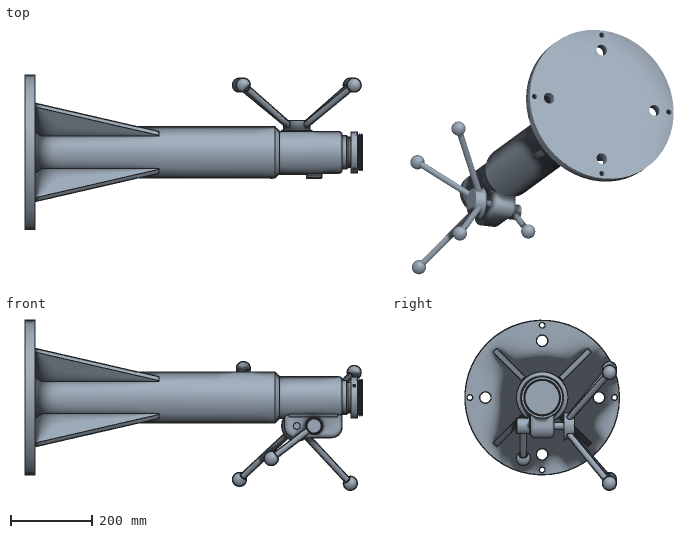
import cadquery as cq
import math


PLATE_RADIUS = 190.5
PLATE_THICKNESS = 26.0
HOLES_PER_CIRCLE = 4
BOLT_HOLE_DIAMETER = 27.5
BOLT_CIRCLE_RADIUS = 140.0
SMALL_HOLE_DIAMETER = 13.0
SMALL_HOLE_CIRCLE_RADIUS = 178.0

TUBE_RADIUS = 63.0
TUBE_END = 627.0
SLEEVE_RADIUS = 51.5
SLEEVE_END = 781.0
SLEEVE_END_RADIUS = 9.0
SHOULDER_CHAMFER = TUBE_RADIUS - SLEEVE_RADIUS

GUSSET_COUNT = 4
GUSSET_END = 330.0
GUSSET_ROOT_RADIUS = 165.0
GUSSET_TIP_RADIUS = 66.0
GUSSET_THICKNESS = 13.0
GUSSET_NOTCH = 17.0
GUSSET_SINK = 2.0

RAM_RADIUS = 42.0
RAM_START = TUBE_END
GROOVE_RADIUS = 37.5
GROOVE_START = 796.0
RAM_END_CHAMFER = 4.0
HEAD_START = 822.0
HEAD_ROOT_RADIUS = 42.5
HEAD_CREST_RADIUS = 45.0
HEAD_RIDGE_COUNT = 2
RAM_END = 832.0

RING_START = 803.0
RING_END = 818.5
RING_RADIUS = 51.0
RING_HOLE_DIAMETER = 7.0
RING_HOLE_ANGLE = 36.0

BRACKET_START = 640.0
BRACKET_BOTTOM = -99.0
BRACKET_HALF_WIDTH = 29.0
BRACKET_CORNER_RADIUS = 27.0
BRACKET_EDGE_RADIUS = 11.0
BRACKET_ROOT_RADIUS = 10.0

SHAFT_X = 670.0
SHAFT_Z = -70.0
SHAFT_RADIUS = 8.0
HUB_FLARE_RADIUS = 37.5
HUB_RADIUS = 32.5
HUB_START = 53.0
HUB_END = 79.0
ARM_COUNT = 4
FIRST_ARM_ANGLE = 43.0
ARM_RISE_ANGLE = 31.0
ARM_RADIUS = 7.5
BALL_RADIUS = 17.5
BALL_FLAT_RADIUS = 10.0
HANDWHEEL_BALL_REACH = 193.0
HANDWHEEL_BALL_Y = 165.5

CLAMP_X = 712.0
CLAMP_Z = SHAFT_Z
KNOB_RADIUS = 19.0
KNOB_END = -64.0
KNOB_CHAMFER = 2.0
KNOB_FLANGE_RADIUS = 22.0
KNOB_FLANGE_THICKNESS = 2.5
CLAMP_LEVER_Y = -46.5
CLAMP_BALL_REACH = 132.0
CLAMP_LEVER_ANGLE = 217.3


def cylinder_along_y(x, z, radius, y_start, y_end):
    return (
        cq.Workplane("XZ", origin=(x, y_start, z))
        .circle(radius)
        .extrude(y_start - y_end)
    )


def ball_lever(foot, ball_center):
    """Round rod from foot to a ball, which has a flat where the rod enters it."""
    axis = ball_center - foot
    rod = cq.Workplane(obj=cq.Solid.makeCylinder(ARM_RADIUS, axis.Length, foot, axis))
    flat_distance = math.sqrt(BALL_RADIUS**2 - BALL_FLAT_RADIUS**2)
    cap_plane = cq.Plane(origin=ball_center - axis.normalized() * flat_distance, normal=-axis)
    cap = cq.Workplane(cap_plane).circle(BALL_RADIUS).extrude(BALL_RADIUS)
    ball = cq.Workplane("XY", origin=ball_center.toTuple()).sphere(BALL_RADIUS).cut(cap)
    return ball.union(rod)


def make_plate():
    holes = (
        cq.Workplane("YZ")
        .polarArray(BOLT_CIRCLE_RADIUS, 0, 360, HOLES_PER_CIRCLE)
        .circle(BOLT_HOLE_DIAMETER / 2)
        .polarArray(SMALL_HOLE_CIRCLE_RADIUS, 0, 360, HOLES_PER_CIRCLE)
        .circle(SMALL_HOLE_DIAMETER / 2)
        .extrude(PLATE_THICKNESS)
    )
    return cq.Workplane("YZ").circle(PLATE_RADIUS).extrude(PLATE_THICKNESS).cut(holes)


def make_gusset(angle):
    """Tapered web with a weld notch where the tube meets the plate."""
    inner_radius = TUBE_RADIUS - GUSSET_SINK
    outline = [
        (PLATE_THICKNESS, GUSSET_ROOT_RADIUS),
        (GUSSET_END, GUSSET_TIP_RADIUS),
        (GUSSET_END, inner_radius),
        (PLATE_THICKNESS + GUSSET_NOTCH, inner_radius),
        (PLATE_THICKNESS, inner_radius + GUSSET_NOTCH),
    ]
    web = cq.Workplane("XZ").polyline(outline).close().extrude(GUSSET_THICKNESS / 2, both=True)
    return web.rotate((0, 0, 0), (1, 0, 0), angle)


def make_bracket():
    """Lug block under the sleeve, its lower corners and its front and back edges rounded."""
    length = SLEEVE_END - BRACKET_START
    return (
        cq.Workplane("XY", origin=(BRACKET_START, 0, BRACKET_BOTTOM))
        .box(length, 2 * BRACKET_HALF_WIDTH, -BRACKET_BOTTOM, centered=(False, True, False))
        .edges("|Y and <Z")
        .fillet(BRACKET_CORNER_RADIUS)
        .edges("(<Y or >Y) and (not >Z)")
        .fillet(BRACKET_EDGE_RADIUS)
    )


def make_bracket_root(side):
    """Concave fillet between the sleeve and the front (side = -1) or back (side = 1) bracket face."""
    center_distance = SLEEVE_RADIUS + BRACKET_ROOT_RADIUS
    center_y = BRACKET_HALF_WIDTH + BRACKET_ROOT_RADIUS
    center_z = -math.sqrt(center_distance**2 - center_y**2)
    sleeve_share = SLEEVE_RADIUS / center_distance
    sleeve_point = (side * center_y * sleeve_share, center_z * sleeve_share)
    face_point = (side * BRACKET_HALF_WIDTH, center_z)
    wedge_length = SLEEVE_END - BRACKET_START - 2 * BRACKET_EDGE_RADIUS
    return (
        cq.Workplane("YZ", origin=(BRACKET_START + BRACKET_EDGE_RADIUS, 0, 0))
        .moveTo(0, 0)
        .lineTo(*sleeve_point)
        .radiusArc(face_point, side * BRACKET_ROOT_RADIUS)
        .lineTo(0, center_z)
        .close()
        .extrude(wedge_length)
    )


def make_pedestal():
    tube = (
        cq.Workplane("YZ").circle(TUBE_RADIUS).extrude(TUBE_END)
        .faces(">X").chamfer(SHOULDER_CHAMFER)
    )
    sleeve = (
        cq.Workplane("YZ").circle(SLEEVE_RADIUS).extrude(SLEEVE_END)
        .faces(">X").edges().fillet(SLEEVE_END_RADIUS)
    )
    pedestal = make_plate().union(tube).union(sleeve).union(make_bracket())
    for side in (-1, 1):
        pedestal = pedestal.union(make_bracket_root(side))
    for i in range(GUSSET_COUNT):
        pedestal = pedestal.union(make_gusset((i + 0.5) * 360 / GUSSET_COUNT))
    ram_bore = (
        cq.Workplane("YZ", origin=(RAM_START, 0, 0))
        .circle(RAM_RADIUS)
        .extrude(SLEEVE_END - RAM_START)
    )
    shaft_hole = cylinder_along_y(
        SHAFT_X, SHAFT_Z, SHAFT_RADIUS, -BRACKET_HALF_WIDTH, BRACKET_HALF_WIDTH
    )
    return pedestal.cut(ram_bore).cut(shaft_hole)


def make_ram():
    """Stepped ram with a groove before the ring and V-shaped ridges around its head."""
    profile = [
        (RAM_START, 0),
        (RAM_START, RAM_RADIUS),
        (GROOVE_START - RAM_END_CHAMFER, RAM_RADIUS),
        (GROOVE_START, GROOVE_RADIUS),
        (RING_START, GROOVE_RADIUS),
        (RING_START, RAM_RADIUS),
        (HEAD_START, RAM_RADIUS),
        (HEAD_START, HEAD_ROOT_RADIUS),
    ]
    ridge_pitch = (RAM_END - HEAD_START) / HEAD_RIDGE_COUNT
    for i in range(HEAD_RIDGE_COUNT):
        ridge_start = HEAD_START + i * ridge_pitch
        profile.append((ridge_start + ridge_pitch / 2, HEAD_CREST_RADIUS))
        profile.append((ridge_start + ridge_pitch, HEAD_ROOT_RADIUS))
    profile.append((RAM_END, 0))
    return cq.Workplane("XY").polyline(profile).close().revolve(360, (0, 0, 0), (1, 0, 0))


def make_ring():
    ring = (
        cq.Workplane("YZ", origin=(RING_START, 0, 0))
        .circle(RING_RADIUS)
        .circle(RAM_RADIUS)
        .extrude(RING_END - RING_START)
    )
    radial_hole = (
        cq.Workplane("XZ", origin=((RING_START + RING_END) / 2, 0, 0))
        .circle(RING_HOLE_DIAMETER / 2)
        .extrude(RING_RADIUS)
        .rotate((0, 0, 0), (1, 0, 0), -RING_HOLE_ANGLE)
    )
    return ring.cut(radial_hole)


def make_handwheel():
    shaft = cylinder_along_y(SHAFT_X, SHAFT_Z, SHAFT_RADIUS, -BRACKET_HALF_WIDTH, HUB_END)
    flare = HUB_FLARE_RADIUS - HUB_RADIUS
    hub = (
        cq.Workplane("XY", origin=(SHAFT_X, 0, SHAFT_Z))
        .moveTo(0, HUB_START)
        .lineTo(HUB_FLARE_RADIUS, HUB_START)
        .radiusArc((HUB_RADIUS, HUB_START + flare), flare)
        .lineTo(HUB_RADIUS, HUB_END)
        .lineTo(0, HUB_END)
        .close()
        .revolve(360, (0, 0, 0), (0, 1, 0))
    )
    handwheel = shaft.union(hub)

    foot_reach = HUB_RADIUS / 2
    arm_slope = math.tan(math.radians(ARM_RISE_ANGLE))
    foot_y = HANDWHEEL_BALL_Y - (HANDWHEEL_BALL_REACH - foot_reach) * arm_slope
    for i in range(ARM_COUNT):
        angle = math.radians(FIRST_ARM_ANGLE + i * 360 / ARM_COUNT)
        outward = cq.Vector(math.cos(angle), 0, math.sin(angle))
        foot = cq.Vector(SHAFT_X, foot_y, SHAFT_Z) + outward * foot_reach
        ball_center = cq.Vector(SHAFT_X, HANDWHEEL_BALL_Y, SHAFT_Z) + outward * HANDWHEEL_BALL_REACH
        handwheel = handwheel.union(ball_lever(foot, ball_center))
    return handwheel


def make_clamp():
    bracket_face = -BRACKET_HALF_WIDTH
    knob = cylinder_along_y(CLAMP_X, CLAMP_Z, KNOB_RADIUS, bracket_face, KNOB_END)
    knob = knob.faces("<Y").chamfer(KNOB_CHAMFER)
    flange = cylinder_along_y(
        CLAMP_X, CLAMP_Z, KNOB_FLANGE_RADIUS, bracket_face, bracket_face - KNOB_FLANGE_THICKNESS
    )
    angle = math.radians(CLAMP_LEVER_ANGLE)
    foot = cq.Vector(CLAMP_X, CLAMP_LEVER_Y, CLAMP_Z)
    ball_center = foot + cq.Vector(math.cos(angle), 0, math.sin(angle)) * CLAMP_BALL_REACH
    return knob.union(flange).union(ball_lever(foot, ball_center))


pedestal = make_pedestal()
ram = make_ram()
ring = make_ring()
handwheel = make_handwheel()
clamp = make_clamp()

result = cq.Compound.makeCompound(
    [pedestal.val(), ram.val(), ring.val(), handwheel.val(), clamp.val()]
)